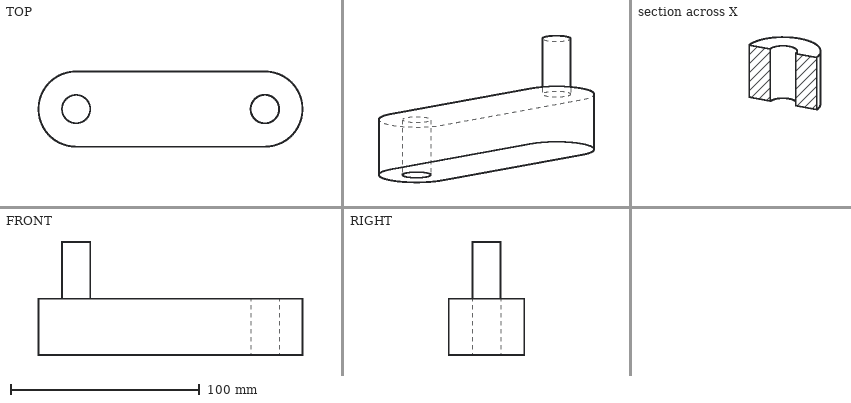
import cadquery as cq

center_distance = 100.0
arm_width = 40.0
arm_thickness = 30.0
pin_diameter = 15.0
pin_height = 30.0
hole_diameter = pin_diameter

arm_length = center_distance + arm_width
pin_x = -center_distance / 2
hole_x = center_distance / 2


def make_arm():
    """Flat link with fully rounded ends, standing on the XY plane."""
    return cq.Workplane("XY").slot2D(arm_length, arm_width).extrude(arm_thickness)


def make_pin():
    """Round pin rising from the top face of the arm."""
    top_plane = cq.Workplane("XY").workplane(offset=arm_thickness)
    return top_plane.center(pin_x, 0).circle(pin_diameter / 2).extrude(pin_height)


def make_hole():
    """Cutter for the through hole that receives the neighbouring pin."""
    return cq.Workplane("XY").center(hole_x, 0).circle(hole_diameter / 2).extrude(arm_thickness)


result = make_arm().union(make_pin()).cut(make_hole())